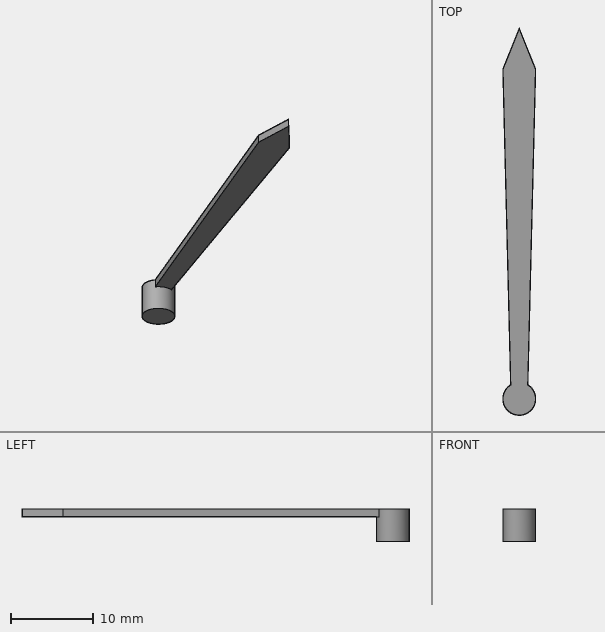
import cadquery as cq

total_length = 47.0
hub_diameter = 4.0
hub_height = 4.0
blade_thickness = 1.0
root_width = 2.0
shoulder_width = hub_diameter
tip_length = 5.0

hub_radius = hub_diameter / 2
tip_y = total_length - hub_radius
shoulder_y = tip_y - tip_length


def make_hub():
    return cq.Workplane("XY").circle(hub_radius).extrude(hub_height)


def make_blade():
    """Flat pointer that widens from the hub axis to the shoulders, then ends in a point."""
    return (
        cq.Workplane("XY")
        .workplane(offset=hub_height - blade_thickness)
        .moveTo(-root_width / 2, 0)
        .lineTo(-shoulder_width / 2, shoulder_y)
        .lineTo(0, tip_y)
        .lineTo(shoulder_width / 2, shoulder_y)
        .lineTo(root_width / 2, 0)
        .close()
        .extrude(blade_thickness)
    )


result = make_hub().union(make_blade())